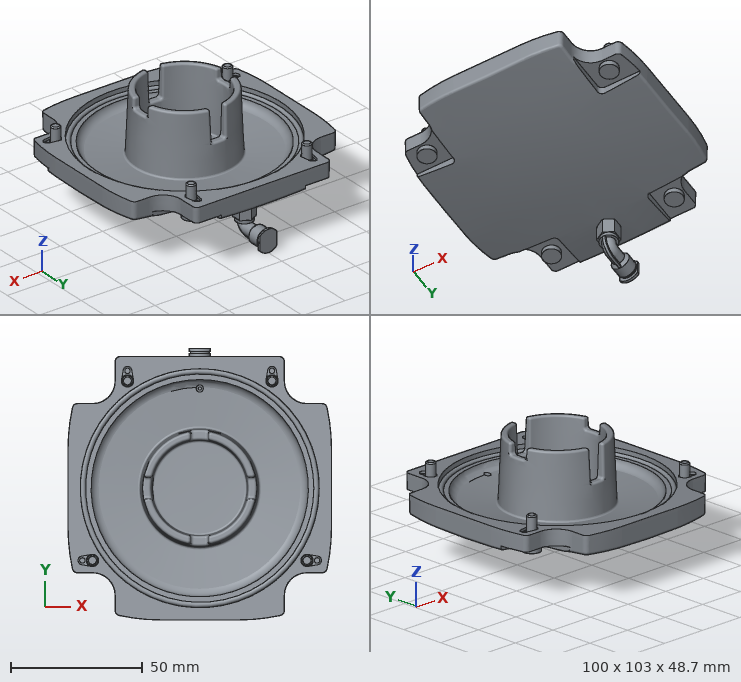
import cadquery as cq
import math

arm_span = 100.0
arm_reach = arm_span / 2
arm_half_width = 32.1
end_flat_half = 14.8
end_corner_setback = 2.1
notch_radius = 8.4
arm_corner_radius = 2.1
parting_depth = 1.6
side_draft = 1.0

dome_depth = 12.2
dome_radius = 396.5
under_edge_radius = 1.1
bowl_wall = 4.2
bowl_floor_radius = 36.8
bowl_rim_radius = 41.2
seat_radius = 45.3
seat_depth = 2.6

oring_section_radius = 1.0
oring_radius = seat_radius - oring_section_radius
oring_groove_depth = 1.0
oring_z = -seat_depth - oring_groove_depth + oring_section_radius

cup_height = 20.8
cup_top_radius = 21.4
cup_foot_radius = 22.8
cup_bore_top_radius = 18.6
cup_bore_foot_radius = 17.8
cup_edge_radius = 0.9
cup_foot_fillet = 0.7
slot_corner_radius = 1.1
deep_slot_floor = 6.7
deep_slot_half_top = 3.5
deep_slot_half_floor = 3.2
shallow_slot_floor = 16.1
shallow_slot_half_top = 4.1
shallow_slot_half_floor = 4.0

screw_far = 40.7
screw_near = 27.4
screw_radius = 2.01
screw_top = 5.6
screw_tip_chamfer = 0.5
head_radius = 3.8
head_height = 2.2
screw_hole_radius = 2.32
pocket_ceiling = 6.8
pocket_start = 20.0
pocket_corner_radius = 2.1

drop_offset = 3.8
drop_radius = 1.6
drop_depth = 1.0
drop_pit_radius = 1.0
drop_pit_depth = 2.1

fitting_y = 37.8
vent_radius = 1.3
spigot_radius = 3.0
spigot_top = -8.2
fitting_bore_radius = 0.6
hex_corner_diameter = 9.3
hex_top = -11.1
hex_bottom = -18.4
hex_chamfer = 0.3
collar_radius = 3.8
tube_radius = 2.8
tube_z = -22.9
bend_radius = 2.9
web_radius = 6.7
web_thickness = 1.1
cone_start_y = 44.6
barrel_start_y = 45.9
barrel_end_y = 51.1
barrel_radius = 4.0
neck_radius = 3.6
flange_start_y = 51.9
overall_length = 103.0
flange_end_y = overall_length - arm_reach
flange_radius = 5.0

DEEP = 61.8


def sphere_z(depth, radius, r):
    """Height of a shallow bowl-shaped sphere at distance r from its axis."""
    return -depth + radius - math.sqrt(radius**2 - r**2)


def floor_z(r):
    return sphere_z(dome_depth - bowl_wall, dome_radius - bowl_wall, r)


def lying_sphere(radius, depth):
    """Ball whose lowest point is at z = -depth, with its poles on a line along Y."""
    return cq.Workplane("XY", origin=(0, 0, radius - depth)).sphere(radius, direct=(0, 1, 0))


def curved_end_side(outline, to_world):
    """Arm end: a bowed approach, a flat middle and a bowed departure."""
    bow = arm_half_width - end_flat_half
    radius = (bow**2 + end_corner_setback**2) / (2 * end_corner_setback)
    half_angle = math.asin(bow / radius) / 2
    mid_along = end_flat_half + radius * math.sin(half_angle)
    mid_reach = arm_reach - radius * (1 - math.cos(half_angle))
    corner_reach = arm_reach - end_corner_setback
    return (
        outline.lineTo(*to_world(corner_reach, -arm_half_width))
        .threePointArc(to_world(mid_reach, -mid_along), to_world(arm_reach, -end_flat_half))
        .lineTo(*to_world(arm_reach, end_flat_half))
        .threePointArc(to_world(mid_reach, mid_along), to_world(corner_reach, arm_half_width))
        .lineTo(*to_world(arm_half_width, arm_half_width))
    )


def make_plate_blank():
    """Cross-shaped block with rounded vertical edges; the +Y arm ends straight."""
    outline = cq.Workplane("XY").moveTo(arm_half_width, -arm_half_width)
    outline = curved_end_side(outline, lambda reach, along: (reach, along))
    outline = (
        outline.lineTo(arm_half_width, arm_reach)
        .lineTo(-arm_half_width, arm_reach)
        .lineTo(-arm_half_width, arm_half_width)
    )
    outline = curved_end_side(outline, lambda reach, along: (-reach, -along))
    outline = curved_end_side(outline, lambda reach, along: (along, -reach))
    block = outline.close().extrude(-parting_depth)

    def is_notch(edge):
        center = edge.Center()
        return max(abs(center.x), abs(center.y)) < arm_half_width + 1

    def is_arm_corner(edge):
        center = edge.Center()
        return min(abs(center.x), abs(center.y)) > arm_half_width - 1 and not is_notch(edge)

    verticals = block.edges("|Z").vals()
    solid = block.val().fillet(notch_radius, [e for e in verticals if is_notch(e)])
    verticals = cq.Workplane(solid).edges("|Z").vals()
    band = cq.Workplane(solid.fillet(arm_corner_radius, [e for e in verticals if is_arm_corner(e)]))
    drafted = band.faces("<Z").wires().toPending().workplane().extrude(dome_depth, taper=side_draft, combine=False)
    return band.union(drafted)


def make_plate():
    """Plate blank trimmed by the dome, with a rounded lower edge."""
    dome = lying_sphere(dome_radius, dome_depth)
    plate = make_plate_blank().intersect(dome)
    return plate.faces("<Z").edges().fillet(under_edge_radius)


def make_bowl_cutter():
    """Turned space above the cover: spherical floor, rounded wall and flat O-ring seat."""
    floor_edge_z = floor_z(bowl_floor_radius)
    wall_width = bowl_rim_radius - bowl_floor_radius
    wall_rise = -seat_depth - floor_edge_z
    wall_mid = (
        bowl_floor_radius + wall_width * math.sin(math.pi / 4),
        -seat_depth - wall_rise * math.sin(math.pi / 4),
    )
    return (
        cq.Workplane("YZ")
        .lineTo(0, -dome_depth)
        .lineTo(bowl_floor_radius, -dome_depth)
        .lineTo(bowl_floor_radius, floor_edge_z)
        .threePointArc(wall_mid, (bowl_rim_radius, -seat_depth))
        .lineTo(seat_radius, -seat_depth)
        .lineTo(seat_radius, 0)
        .close()
        .revolve(360, (0, 0), (0, 1))
        .intersect(lying_sphere(dome_radius - bowl_wall, dome_depth - bowl_wall))
    )


def make_oring_groove():
    return (
        cq.Workplane("XY", origin=(0, 0, -seat_depth))
        .circle(seat_radius)
        .circle(seat_radius - 2 * oring_section_radius)
        .extrude(-oring_groove_depth)
    )


def slot_cutter(plane, floor, half_floor, half_top):
    """Tapered slot with rounded floor corners, cut across the whole cup."""
    return (
        cq.Workplane(plane)
        .moveTo(-half_floor, floor)
        .lineTo(half_floor, floor)
        .lineTo(half_top, cup_height)
        .lineTo(-half_top, cup_height)
        .close()
        .extrude(cup_foot_radius + 1, both=True)
        .faces("<Z")
        .edges("|Y" if plane == "XZ" else "|X")
        .fillet(slot_corner_radius)
    )


def make_cup():
    """Tapered tube with a deep slot along Y and a shallow one along X, all edges rounded."""
    foot_z = floor_z(0) - bowl_wall / 2
    cup = (
        cq.Workplane("XZ")
        .moveTo(-cup_bore_foot_radius, foot_z)
        .lineTo(-cup_foot_radius, foot_z)
        .lineTo(-cup_top_radius, cup_height)
        .lineTo(-cup_bore_top_radius, cup_height)
        .close()
        .revolve(360, (0, 0), (0, 1))
    )
    cup = cup.cut(slot_cutter("XZ", deep_slot_floor, deep_slot_half_floor, deep_slot_half_top))
    cup = cup.cut(slot_cutter("YZ", shallow_slot_floor, shallow_slot_half_floor, shallow_slot_half_top))
    edge_zone = cq.selectors.BoxSelector(
        (-DEEP, -DEEP, deep_slot_floor - 1), (DEEP, DEEP, cup_height + 1)
    )
    return cup.edges(edge_zone).fillet(cup_edge_radius)


screw_sites = [
    (side * screw_near, screw_far, (0, 1)) for side in (-1, 1)
] + [
    (side * screw_far, -screw_near, (side, 0)) for side in (-1, 1)
]


def head_pocket(x, y, outward):
    """Open pocket under the arm corner that holds a screw head."""
    start_x = arm_half_width if outward[0] else pocket_start
    start_y = arm_half_width if outward[1] else pocket_start
    return (
        cq.Workplane("XY", origin=(0, 0, -pocket_ceiling))
        .moveTo(math.copysign(start_x, x), math.copysign(start_y, y))
        .lineTo(math.copysign(DEEP, x), math.copysign(start_y, y))
        .lineTo(math.copysign(DEEP, x), math.copysign(DEEP, y))
        .lineTo(math.copysign(start_x, x), math.copysign(DEEP, y))
        .close()
        .extrude(-dome_depth)
        .edges("|Z")
        .fillet(pocket_corner_radius)
    )


def teardrop_recess(x, y, outward):
    """Shallow recess tapering from the screw hole to a small pit further out."""
    tip = cq.Vector(x, y) + cq.Vector(*outward) * drop_offset
    across = cq.Vector(-outward[1], outward[0])
    sine = (screw_hole_radius - drop_radius) / drop_offset
    cosine = math.sqrt(1 - sine**2)
    along = cq.Vector(*outward) * sine
    hole = cq.Vector(x, y)
    points = [
        hole + (along + across * cosine) * screw_hole_radius,
        tip + (along + across * cosine) * drop_radius,
        tip + (along - across * cosine) * drop_radius,
        hole + (along - across * cosine) * screw_hole_radius,
    ]
    taper = cq.Workplane("XY").polyline([p.toTuple()[:2] for p in points]).close().extrude(-drop_depth)
    round_end = cq.Workplane("XY").center(tip.x, tip.y).circle(drop_radius).extrude(-drop_depth)
    pit = cq.Workplane("XY").center(tip.x, tip.y).circle(drop_pit_radius).extrude(-drop_pit_depth)
    return taper.union(round_end).union(pit)


def cup_foot_edges(cover):
    """Rings where the inside and outside of the cup meet the bowl floor."""
    return [
        edge
        for edge in cover.edges().vals()
        if abs(edge.startPoint().z - edge.endPoint().z) < 0.01
        and floor_z(0) < edge.startPoint().z < floor_z(cup_foot_radius + 1)
        and edge.BoundingBox().zlen < 0.05
        and math.hypot(edge.startPoint().x, edge.startPoint().y) < cup_foot_radius + 1
    ]


def make_cover():
    cover = make_plate().cut(make_bowl_cutter().union(make_oring_groove()))
    for x, y, outward in screw_sites:
        hole = cq.Workplane("XY").center(x, y).circle(screw_hole_radius).extrude(-dome_depth)
        cover = cover.cut(hole).cut(head_pocket(x, y, outward)).cut(teardrop_recess(x, y, outward))
    vent = cq.Workplane("XY").center(0, fitting_y).circle(vent_radius).extrude(-dome_depth)
    socket = (
        cq.Workplane("XY", origin=(0, fitting_y, spigot_top))
        .circle(spigot_radius)
        .extrude(-dome_depth)
    )
    cover = cover.cut(vent).cut(socket).union(make_cup())
    return cq.Workplane(cover.solids().val().fillet(cup_foot_fillet, cup_foot_edges(cover)))


def make_oring():
    return cq.Workplane(
        cq.Solid.makeTorus(oring_radius, oring_section_radius, cq.Vector(0, 0, oring_z))
    )


def make_screw(x, y):
    shank = (
        cq.Workplane("XY", origin=(x, y, -pocket_ceiling))
        .circle(screw_radius)
        .extrude(pocket_ceiling + screw_top)
        .faces(">Z")
        .chamfer(screw_tip_chamfer)
    )
    head = cq.Workplane("XY", origin=(x, y, -pocket_ceiling)).circle(head_radius).extrude(-head_height)
    return shank.union(head)


def make_hex_socket():
    """Hexagon with corners along Y and a round spigot on top, bored through."""
    def cylinder(radius, top, bottom):
        return cq.Workplane("XY", origin=(0, fitting_y, top)).circle(radius).extrude(bottom - top)

    hexagon = (
        cq.Workplane("XY", origin=(0, fitting_y, hex_bottom))
        .transformed(rotate=(0, 0, 90))
        .polygon(6, hex_corner_diameter)
        .extrude(hex_top - hex_bottom)
    )
    turned = cylinder(hex_corner_diameter / 2, hex_top, hex_bottom).faces(">Z").chamfer(hex_chamfer)
    body = hexagon.intersect(turned).union(cylinder(spigot_radius, spigot_top, hex_top))
    return body.cut(cylinder(fitting_bore_radius, spigot_top, hex_bottom))


def make_elbow():
    """Bent tube with an outer web, ending in a flanged barrel along +Y."""
    bend_y = fitting_y + bend_radius
    bend_z = tube_z + bend_radius
    collar = (
        cq.Workplane("XY", origin=(0, fitting_y, hex_bottom))
        .circle(collar_radius)
        .extrude(bend_z - hex_bottom)
    )
    bend = (
        cq.Workplane("XY", origin=(0, fitting_y, bend_z))
        .circle(tube_radius)
        .revolve(90, (-1, bend_radius, 0), (1, bend_radius, 0))
    )
    web_corner = web_radius * math.sin(math.pi / 4)
    web = (
        cq.Workplane("YZ")
        .moveTo(bend_y, bend_z)
        .lineTo(bend_y - web_radius, bend_z)
        .threePointArc((bend_y - web_corner, bend_z - web_corner), (bend_y, bend_z - web_radius))
        .lineTo(barrel_start_y, bend_z - web_radius)
        .lineTo(barrel_start_y, tube_z)
        .lineTo(bend_y, tube_z)
        .close()
        .extrude(web_thickness / 2, both=True)
    )
    barrel = (
        cq.Workplane("XY", origin=(0, 0, tube_z))
        .moveTo(0, bend_y)
        .lineTo(tube_radius, bend_y)
        .lineTo(tube_radius, cone_start_y)
        .lineTo(barrel_radius, barrel_start_y)
        .lineTo(barrel_radius, barrel_end_y)
        .lineTo(neck_radius, barrel_end_y)
        .lineTo(neck_radius, flange_start_y)
        .lineTo(0, flange_start_y)
        .close()
        .revolve(360, (0, 0), (0, 1))
    )
    flange_length = flange_end_y - flange_start_y
    flange = (
        cq.Workplane("XZ", origin=(0, flange_end_y, tube_z))
        .circle(flange_radius)
        .extrude(flange_length)
        .intersect(
            cq.Workplane("XZ", origin=(0, flange_end_y, tube_z))
            .rect(2 * barrel_radius, 2 * flange_radius)
            .extrude(flange_length)
        )
    )
    return collar.union(bend).union(web).union(barrel).union(flange)


cover = make_cover()
oring = make_oring()
screws = [make_screw(x, y) for x, y, _ in screw_sites]
hex_socket = make_hex_socket()
elbow = make_elbow()

result = cq.Compound.makeCompound(
    [cover.val(), oring.val(), *[screw.val() for screw in screws], hex_socket.val(), elbow.val()]
)